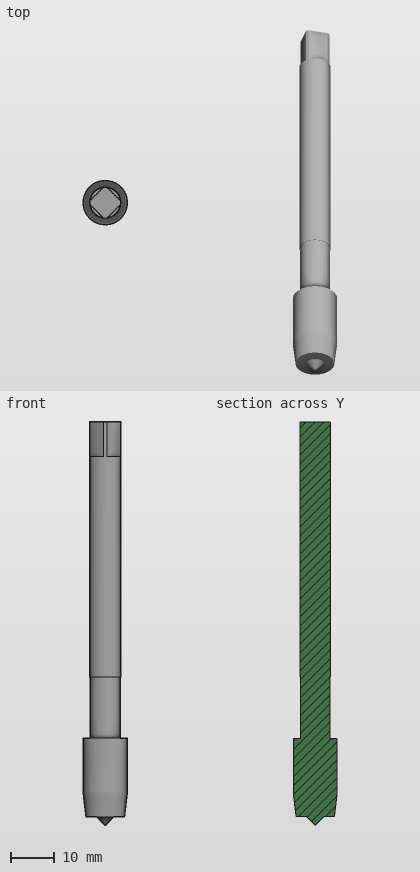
import cadquery as cq

total_length = 92.1
point_height = 2.0
taper_top = 7.5
head_top = 20.0
neck_top = 33.9
square_bottom = 84.1

point_radius = 1.9
tip_radius = 4.4
head_radius = 5.1
neck_radius = 3.45
shank_radius = 3.55
square_side = 5.5

profile = [
    (0, 0),
    (point_radius, point_height),
    (tip_radius, point_height),
    (head_radius, taper_top),
    (head_radius, head_top),
    (neck_radius, head_top),
    (neck_radius, neck_top),
    (shank_radius, neck_top),
    (shank_radius, total_length),
    (0, total_length),
]
body = cq.Workplane("XZ").polyline(profile).close().revolve(360, (0, 0, 0), (0, 1, 0))

square_length = total_length - square_bottom
square = (
    cq.Workplane("XY", origin=(0, 0, square_bottom))
    .rect(square_side, square_side)
    .extrude(square_length)
    .rotate((0, 0, 0), (0, 0, 1), 45)
)
sleeve = (
    cq.Workplane("XY", origin=(0, 0, square_bottom))
    .circle(head_radius)
    .extrude(square_length)
    .cut(square)
)

result = body.cut(sleeve)